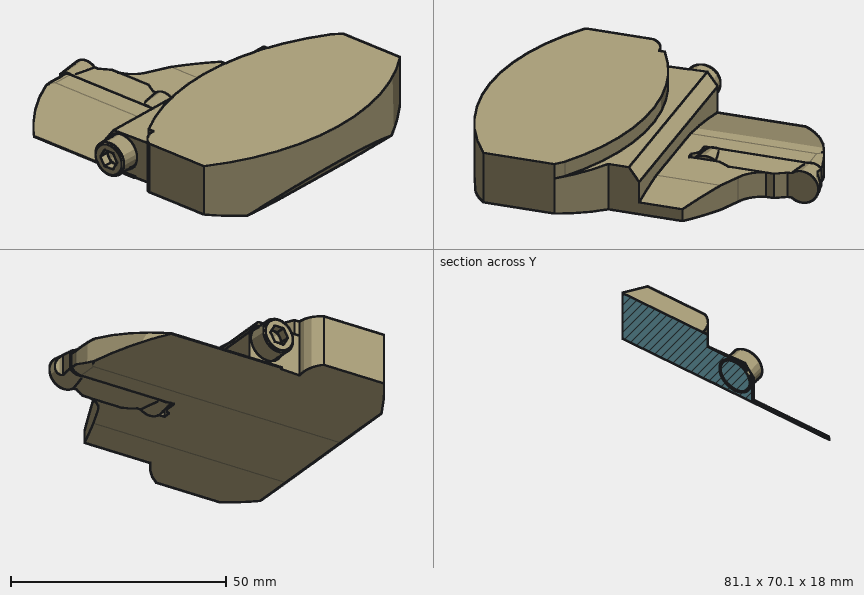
import cadquery as cq
import math


blade_half = 3.2
ledge_z = 10.2
plate_top_z = 13.95
bevel_low_z = 6.8
below_all = -8.1

flat_half_width = 11.7
crown_mid_y = 23.4
crown_mid_z = 1.55
crown_end_z = 1.1

plate_half_x = 20.1
plate_half_y = 34.95
lens_radius = 60.8
lens_center_x = lens_radius - plate_half_x
lens_end_x = math.sqrt(lens_radius**2 - plate_half_y**2) - lens_center_x
corner_diameter = 11.8
corner_radius = corner_diameter / 2
underside_chamfer = 7.8
chamfer_top_z = underside_chamfer - blade_half

block_left_x = -25.2
block_back_y = 23.4
block_front_y = -30.25
bevel_width = 2.5
front_face_tilt = 2.4
step_x = -10.95
step_y = block_front_y + (step_x - block_left_x) * math.tan(math.radians(front_face_tilt))
wing_start_x = -17.6
wing_mid = (-12.8, 30.4)
wing_end = (-8.4, plate_half_y)
wing_meets_lens = (-10.3, 32.9)

nozzle_diameter = 8.5
nozzle_length = 4.95
nozzle_x = -20.3
nozzle_z = 5.35
nozzle_edge_chamfer = 0.4
nozzle_seat_diameter = 9.0
nozzle_seat_depth = 0.8
socket_flats = 4.3
socket_depth = 2.4
socket_tip_depth = 1.4

blade_overlap_x = -16.2
blade_back_left_x = -35.9
gullet_start = (-43.5, 6.3)
gullet_mid = (-44.85, 4.0)
gullet_end = (-48.7, 1.7)
nose_x = -59.0
nose_straight_y = -8.3
nose_arc_mid = (-54.9, -19.7)
nose_arc_end_x = -46.95
nose_axis_x = -56.4

insert_tip_x = -61.0
insert_center_x = -45.0
insert_bottom_y = -6.4
rake_radius = 4.05
root_radius = 3.3
tip_axis_offset = insert_center_x - insert_tip_x - rake_radius
half_length = insert_center_x - insert_tip_x
relief_depth = 1.55
relief_start_y = -1.9
relief_end_y = -3.6
relief_mid = (1.0, -2.6)
hump_y = 1.7
hump_half_top = 5.6
hump_half_base = 8.4


def crown_section(first_x, length):
    """Bar along x, flat below and crowned on its underside at both margins, open upward."""
    top = plate_top_z + 0.8
    return (
        cq.Workplane("YZ", origin=(first_x, 0, 0))
        .moveTo(-plate_half_y, top)
        .lineTo(-plate_half_y, crown_end_z)
        .threePointArc((-crown_mid_y, -crown_mid_z), (-flat_half_width, -blade_half))
        .lineTo(flat_half_width, -blade_half)
        .threePointArc((crown_mid_y, -crown_mid_z), (plate_half_y, crown_end_z))
        .lineTo(plate_half_y, top)
        .close()
        .extrude(length)
    )


crowned_bar = crown_section(insert_tip_x, plate_half_x - insert_tip_x)


def lens_front(outline):
    """Continue an outline from the wing end around the plate to the step beside the nozzle."""
    corner_center_x = step_x + corner_radius
    corner_drop = plate_half_y + step_y
    corner_end_x = corner_center_x - math.sqrt(corner_radius**2 - corner_drop**2)
    half_turn = math.asin(corner_drop / corner_radius) / 2
    corner_mid = (
        corner_center_x - corner_radius * math.cos(half_turn),
        step_y - corner_radius * math.sin(half_turn),
    )
    return (
        outline.lineTo(lens_end_x, plate_half_y)
        .threePointArc((plate_half_x, 0), (lens_end_x, -plate_half_y))
        .lineTo(corner_end_x, -plate_half_y)
        .threePointArc(corner_mid, (step_x, step_y))
    )


def make_base():
    """Block and lower half of the plate, up to the ledge, bevelled along its left edge."""
    outline = (
        cq.Workplane("XY", origin=(0, 0, below_all))
        .moveTo(block_left_x, block_back_y)
        .lineTo(wing_start_x, block_back_y)
        .threePointArc(wing_mid, wing_end)
    )
    base = (
        lens_front(outline)
        .lineTo(block_left_x, block_front_y)
        .close()
        .extrude(ledge_z - below_all)
    )
    bevel = (
        cq.Workplane("XZ", origin=(0, plate_half_y, 0))
        .polyline(
            [
                (block_left_x, bevel_low_z),
                (block_left_x + bevel_width, ledge_z),
                (block_left_x, ledge_z),
            ]
        )
        .close()
        .extrude(2 * plate_half_y)
    )
    return base.cut(bevel)


def make_plate():
    """Upper, lens-shaped part of the plate."""
    lens_foot_x = lens_center_x - math.sqrt(lens_radius**2 - step_y**2)
    outline = (
        cq.Workplane("XY", origin=(0, 0, ledge_z))
        .moveTo(*wing_meets_lens)
        .lineTo(*wing_end)
    )
    return (
        lens_front(outline)
        .lineTo(lens_foot_x, step_y)
        .threePointArc((-plate_half_x, 0), wing_meets_lens)
        .close()
        .extrude(plate_top_z - ledge_z)
    )


def underside_wedge():
    """Material removed by the slope under the right edge of the plate."""
    return (
        cq.Workplane("XZ", origin=(0, plate_half_y, 0))
        .polyline(
            [
                (plate_half_x, chamfer_top_z),
                (plate_half_x - underside_chamfer, -blade_half),
                (plate_half_x, -blade_half),
            ]
        )
        .close()
        .extrude(2 * plate_half_y)
    )


def make_blade():
    """Thin blade, crowned on both faces and rounded along its nose."""
    seat_y = insert_bottom_y / 2
    outline = (
        cq.Workplane("XY", origin=(0, 0, -blade_half))
        .moveTo(blade_overlap_x, block_back_y)
        .lineTo(blade_back_left_x, block_back_y)
        .lineTo(*gullet_start)
        .threePointArc(gullet_mid, gullet_end)
        .lineTo(gullet_end[0], seat_y)
        .lineTo(nose_x, seat_y)
        .lineTo(nose_x, nose_straight_y)
        .threePointArc(nose_arc_mid, (nose_arc_end_x, block_front_y))
        .lineTo(blade_overlap_x, block_front_y)
        .close()
        .extrude(2 * blade_half)
    )
    nose_envelope = (
        cq.Workplane("XZ", origin=(0, plate_half_y, 0))
        .moveTo(0, blade_half)
        .lineTo(nose_axis_x, blade_half)
        .threePointArc((nose_axis_x - blade_half, 0), (nose_axis_x, -blade_half))
        .lineTo(0, -blade_half)
        .close()
        .extrude(2 * plate_half_y)
    )
    upper_crown = crowned_bar.mirror("XY")
    return outline.intersect(upper_crown).intersect(nose_envelope)


def on_nozzle_axis(distance):
    """Plane across the nozzle axis, at a distance outward from the tilted front face."""
    tilt = math.radians(front_face_tilt)
    face_y = block_front_y + (nozzle_x - block_left_x) * math.tan(tilt)
    axis = cq.Vector(math.sin(tilt), -math.cos(tilt), 0)
    center = cq.Vector(nozzle_x, face_y, nozzle_z) + axis * distance
    return cq.Plane(origin=center.toTuple(), xDir=(0, 0, 1), normal=axis.toTuple())


def nozzle_seat():
    """Shallow round recess that leaves a narrow gap around the nozzle."""
    plane = on_nozzle_axis(-nozzle_seat_depth)
    return cq.Workplane(plane).circle(nozzle_seat_diameter / 2).extrude(2 * nozzle_seat_depth)


def nozzle_head():
    """Round nozzle head standing on the floor of its seat."""
    return (
        cq.Workplane(on_nozzle_axis(-nozzle_seat_depth))
        .circle(nozzle_diameter / 2)
        .extrude(nozzle_seat_depth + nozzle_length)
        .faces("<Y")
        .chamfer(nozzle_edge_chamfer)
    )


def nozzle_socket():
    """Hexagonal socket with a conical bottom."""
    floor_plane = on_nozzle_axis(nozzle_length - socket_depth)
    hexagon = (
        cq.Workplane(floor_plane)
        .polygon(6, socket_flats, circumscribed=True)
        .extrude(socket_depth)
    )
    tip = cq.Solid.makeCone(
        socket_flats / 2,
        0,
        socket_tip_depth,
        pnt=floor_plane.origin,
        dir=floor_plane.zDir * -1,
    )
    return hexagon.union(cq.Workplane(tip))


def insert_prism(half_height):
    """Plan outline of the insert, extruded equally above and below mid-thickness."""
    relieved_half = half_length - relief_depth
    return (
        cq.Workplane("XY", origin=(insert_center_x, 0, -half_height))
        .moveTo(0, hump_y)
        .lineTo(hump_half_top, hump_y)
        .lineTo(hump_half_base, 0)
        .lineTo(half_length, 0)
        .lineTo(half_length, relief_start_y)
        .threePointArc(
            (half_length - relief_mid[0], relief_mid[1]),
            (relieved_half, relief_end_y),
        )
        .lineTo(relieved_half, insert_bottom_y)
        .lineTo(0, insert_bottom_y)
        .mirrorY()
        .extrude(2 * half_height)
    )


def make_insert():
    """Flat-sided insert with a tapering round cutting end at each tip."""
    core = cq.Workplane("XY").box(2 * tip_axis_offset, 2 * plate_half_y, 2 * blade_half)
    envelope = core.translate((insert_center_x, 0, 0))
    for side in (-1, 1):
        tip_cone = cq.Solid.makeCone(
            rake_radius,
            root_radius,
            -insert_bottom_y,
            pnt=cq.Vector(insert_center_x + side * tip_axis_offset, 0, 0),
            dir=cq.Vector(0, -1, 0),
        )
        envelope = envelope.union(cq.Workplane(tip_cone))
    return insert_prism(rake_radius).intersect(envelope)


def make_holder():
    """Blade, base, plate and nozzle in one piece, with the insert pocket cut through the blade."""
    upper = make_base().union(make_plate()).cut(underside_wedge())
    body = upper.union(make_blade()).intersect(crowned_bar)
    body = body.cut(nozzle_seat()).union(nozzle_head()).cut(nozzle_socket())
    return body.cut(insert_prism(rake_radius))


holder = make_holder()
insert = make_insert()
result = cq.Compound.makeCompound([holder.val(), insert.val()])